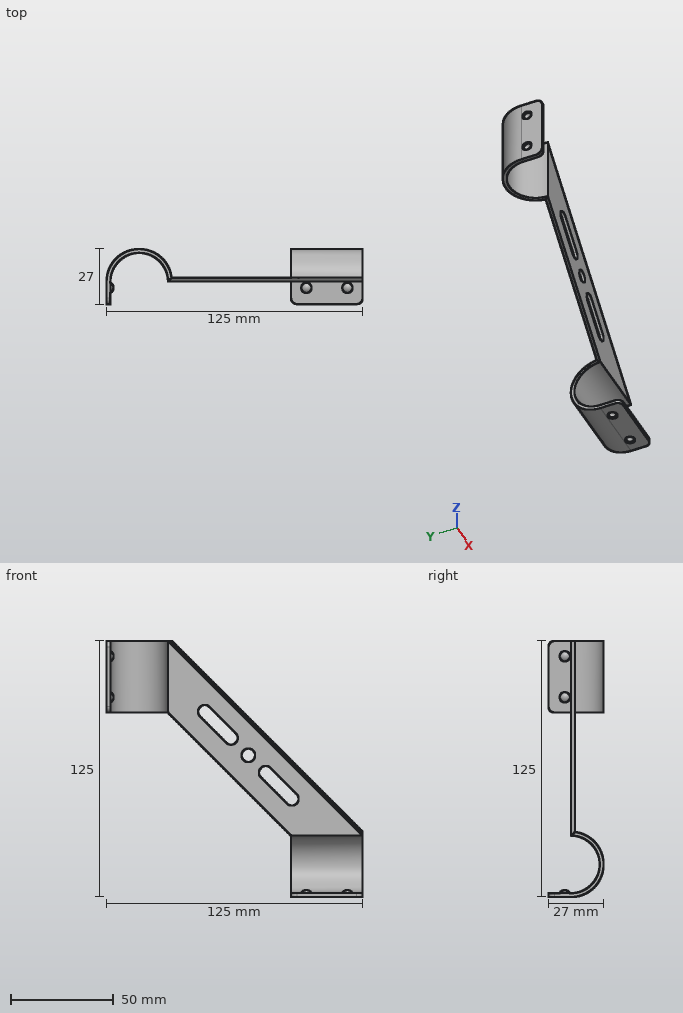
import cadquery as cq
import math

SPAN = 125.0
THICKNESS = 2.0
STRIP_WIDTH = 35.0
INNER_RADIUS = 14.0
TAB_LENGTH = 11.0
TAB_CORNER_RADIUS = 3.0
WEB_SLOPE = 45.0

HOLE_DIAMETER = 6.5
SLOT_CENTRE_DISTANCE = 18.0
SLOT_OFFSET = 21.0

DIMPLE_SPACING = 20.0
DIMPLE_FROM_BEND = 3.0
BUMP_RADIUS = 2.5
BUMP_HEIGHT = 1.5
RECESS_MOUTH_RADIUS = 2.4
RECESS_RADIUS = 1.9
RECESS_TAPER_DEPTH = 0.5
RECESS_CAP_DEPTH = RECESS_RADIUS

OUTER_RADIUS = INNER_RADIUS + THICKNESS
BEND_X = OUTER_RADIUS
WEB_START = BEND_X + INNER_RADIUS
MITRE_START = BEND_X + math.sqrt(OUTER_RADIUS**2 - THICKNESS**2)
HOOK_BOTTOM = SPAN - STRIP_WIDTH
HOOK_MIDDLE = SPAN - STRIP_WIDTH / 2


def make_curved_strip():
    """Upper hook: a half-round bend with a straight lip, mitred where it meets the web."""
    strip = (
        cq.Workplane("XY")
        .workplane(offset=HOOK_BOTTOM)
        .moveTo(0, -TAB_LENGTH)
        .lineTo(0, 0)
        .threePointArc((BEND_X, OUTER_RADIUS), (MITRE_START, THICKNESS))
        .lineTo(WEB_START, 0)
        .threePointArc((BEND_X, INNER_RADIUS), (THICKNESS, 0))
        .lineTo(THICKNESS, -TAB_LENGTH)
        .close()
        .extrude(STRIP_WIDTH)
    )
    return strip.faces("<Y").edges("|X").fillet(TAB_CORNER_RADIUS)


def revolve_dimple(base_x, base_radius, rim_x, rim_radius, cap_height, z):
    """Solid of revolution on a dimple axis: a straight or tapered base under a spherical cap."""
    sphere_radius = (rim_radius**2 + cap_height**2) / (2 * cap_height)
    tip_x = rim_x + cap_height
    half_angle = math.asin(rim_radius / sphere_radius) / 2
    arc_middle = (
        tip_x - sphere_radius * (1 - math.cos(half_angle)),
        sphere_radius * math.sin(half_angle),
    )
    return (
        cq.Workplane("XY")
        .moveTo(base_x, 0)
        .lineTo(base_x, base_radius)
        .lineTo(rim_x, rim_radius)
        .threePointArc(arc_middle, (tip_x, 0))
        .close()
        .revolve(360, (0, 0, 0), (1, 0, 0))
        .translate((0, -DIMPLE_FROM_BEND, z))
    )


def make_dimple_bump(z):
    """Spherical cap on the inner face of the lip, rooted halfway into the sheet."""
    return revolve_dimple(THICKNESS / 2, BUMP_RADIUS, THICKNESS, BUMP_RADIUS, BUMP_HEIGHT, z)


def make_dimple_recess(z):
    """Tapered mouth with a hemispherical bottom, sunk from the outer face of the lip."""
    return revolve_dimple(
        0, RECESS_MOUTH_RADIUS, RECESS_TAPER_DEPTH, RECESS_RADIUS, RECESS_CAP_DEPTH, z
    )


def make_hook():
    """Upper hook with its two dimples."""
    hook = make_curved_strip()
    for side in (-1, 1):
        z = HOOK_MIDDLE + side * DIMPLE_SPACING / 2
        hook = hook.union(make_dimple_bump(z)).cut(make_dimple_recess(z))
    return hook


def web_outline(start):
    """Corners of one web face whose hook-side edges lie at X = start and Z = start."""
    return [(start, HOOK_BOTTOM), (start, SPAN), (SPAN, start), (HOOK_BOTTOM, start)]


def make_web():
    """Diagonal web; its four edge faces slope so that they meet the mitred hook ends."""
    web = (
        cq.Workplane("XZ")
        .polyline(web_outline(WEB_START))
        .close()
        .workplane(offset=-THICKNESS)
        .polyline(web_outline(MITRE_START))
        .close()
        .loft(ruled=True)
    )
    middle = (WEB_START + HOOK_BOTTOM + MITRE_START + SPAN) / 4
    openings = (
        cq.Workplane("XZ", origin=(middle, 0, middle))
        .transformed(rotate=(0, 0, -WEB_SLOPE))
        .circle(HOLE_DIAMETER / 2)
        .pushPoints([(-SLOT_OFFSET, 0), (SLOT_OFFSET, 0)])
        .slot2D(SLOT_CENTRE_DISTANCE + HOLE_DIAMETER, HOLE_DIAMETER)
        .extrude(THICKNESS, both=True)
    )
    return web.cut(openings)


upper_hook = make_hook()
lower_hook = upper_hook.rotate((0, 0, 0), (1, 0, 1), 180).mirror("XZ")

result = make_web().union(upper_hook).union(lower_hook)